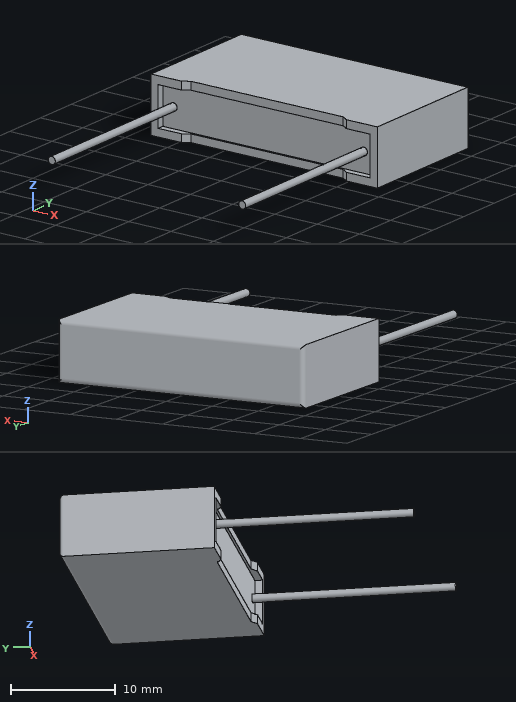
import cadquery as cq


case_width = 26.8
case_length = 15.1
case_thickness = 6.21
wall = 0.9
closed_end_radius = 0.5

relief_depth = 0.5
relief_mouth_width = 19.5
relief_floor_width = 18.0

fill_setback = 0.75

lead_diameter = 0.85
lead_pitch = 22.5
total_length = 34.1
lead_protrusion = total_length - case_length

cavity_width = case_width - 2 * wall
cavity_thickness = case_thickness - 2 * wall
cavity_depth = case_length - wall


def block(width, thickness, y_start, length):
    """Box centred on X and Z that runs along +Y from y_start."""
    return cq.Workplane("XY").box(width, length, thickness).translate((0, y_start + length / 2, 0))


def make_rim_relief():
    """Trapezoid through the full thickness, widest at the rim."""
    return (
        cq.Workplane("XY")
        .moveTo(-relief_mouth_width / 2, 0)
        .lineTo(-relief_floor_width / 2, relief_depth)
        .lineTo(relief_floor_width / 2, relief_depth)
        .lineTo(relief_mouth_width / 2, 0)
        .close()
        .extrude(case_thickness / 2, both=True)
    )


def make_case():
    """Box open at the lead end, with the edges of its closed end rounded."""
    shell = block(case_width, case_thickness, 0, case_length)
    shell = shell.faces(">Y").edges().fillet(closed_end_radius)
    cavity = block(cavity_width, cavity_thickness, 0, cavity_depth)
    return shell.cut(cavity).cut(make_rim_relief())


def make_fill():
    """Resin block that fills the cavity up to the setback."""
    return block(cavity_width, cavity_thickness, fill_setback, cavity_depth - fill_setback)


def make_lead(x):
    """Round wire from the fill face out to the lead tip."""
    wire = cq.Workplane("XZ", origin=(x, fill_setback, 0)).circle(lead_diameter / 2)
    return wire.extrude(fill_setback + lead_protrusion)


case = make_case()
fill = make_fill()
leads = [make_lead(side * lead_pitch / 2) for side in (-1, 1)]

result = cq.Compound.makeCompound([case.val(), fill.val(), *[lead.val() for lead in leads]])